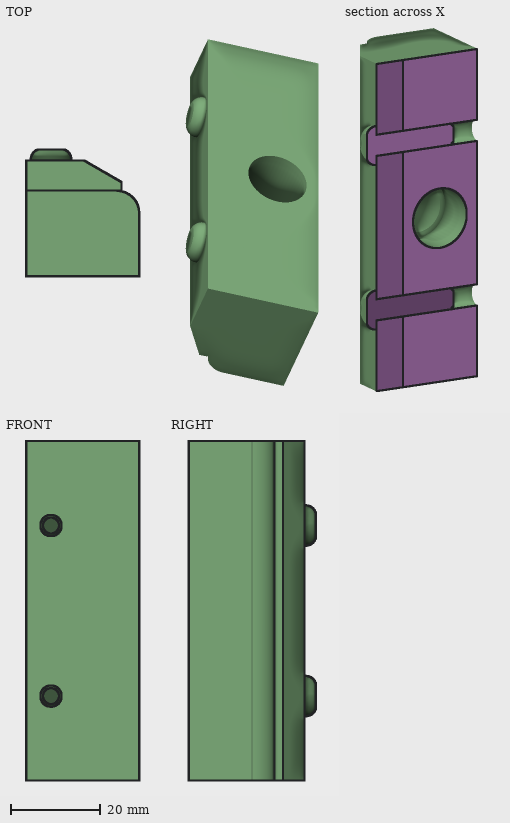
import cadquery as cq
import math

length = 76.2

block_width = 25.4
block_depth = 19.2
block_edge_radius = 5.0

plate_width = 21.4
plate_thickness = 6.8
plate_flat_width = 13.0
plate_bevel_angle = 30.0

head_diameter = 9.15
head_height = 2.5
head_rim_height = 0.2
head_top_diameter = 5.8
head_bulge = 0.45
shank_diameter = 4.8
shank_end_chamfer = 0.6
shank_end_recess = 6.1
screw_x = 5.6
screw_spacing = 38.25

port_diameter = 13.7
port_depth = 15.25
port_tip_diameter = 11.1
port_tip_angle = 118.0

plate_back = block_depth + plate_thickness
bevel_depth = (plate_width - plate_flat_width) * math.tan(math.radians(plate_bevel_angle))
screw_heights = [-screw_spacing / 2, screw_spacing / 2]


def along_y(x, y, z):
    """Workplane at (x, y, z) whose normal is +Y and whose local X is +X."""
    return cq.Workplane(cq.Plane(origin=(x, y, z), xDir=(1, 0, 0), normal=(0, 1, 0)))


def cut_screw_holes(body):
    """Cut through the body in Y at each screw position."""
    for z in screw_heights:
        hole = along_y(screw_x, 0, z).circle(shank_diameter / 2).extrude(plate_back)
        body = body.cut(hole)
    return body


def make_port():
    """Blind side hole running in +X with a smaller conical tip."""
    radius = port_diameter / 2
    tip_radius = port_tip_diameter / 2
    tip_length = tip_radius / math.tan(math.radians(port_tip_angle / 2))
    middle_y = block_depth / 2
    return (
        cq.Workplane("XY")
        .moveTo(0, middle_y)
        .lineTo(0, middle_y + radius)
        .lineTo(port_depth, middle_y + radius)
        .lineTo(port_depth, middle_y + tip_radius)
        .lineTo(port_depth + tip_length, middle_y)
        .close()
        .revolve(360, (0, middle_y, 0), (1, middle_y, 0))
    )


def make_block():
    """Long block with one rounded edge, a side port and two screw holes."""
    block = cq.Workplane("XY").box(block_width, block_depth, length, centered=(False, False, True))
    block = block.edges(">X and >Y").fillet(block_edge_radius)
    block = block.cut(make_port())
    return cut_screw_holes(block)


def make_plate():
    """Clamping plate with a bevelled outer corner and two screw holes."""
    plate = (
        cq.Workplane("XY")
        .workplane(offset=-length / 2)
        .moveTo(0, block_depth)
        .lineTo(plate_width, block_depth)
        .lineTo(plate_width, plate_back - bevel_depth)
        .lineTo(plate_flat_width, plate_back)
        .lineTo(0, plate_back)
        .close()
        .extrude(length)
    )
    return cut_screw_holes(plate)


def make_screw(z):
    """Button-head screw along Y; its chamfered end stops inside the block."""
    shank_radius = shank_diameter / 2
    head_radius = head_diameter / 2
    top_radius = head_top_diameter / 2
    rim_y = plate_back + head_rim_height
    top_y = plate_back + head_height
    chord_x = head_radius - top_radius
    chord_y = top_y - rim_y
    chord = math.hypot(chord_x, chord_y)
    dome_middle = (
        (head_radius + top_radius) / 2 + head_bulge * chord_y / chord,
        (rim_y + top_y) / 2 + head_bulge * chord_x / chord,
    )
    return (
        cq.Workplane("XY")
        .moveTo(0, shank_end_recess)
        .lineTo(shank_radius - shank_end_chamfer, shank_end_recess)
        .lineTo(shank_radius, shank_end_recess + shank_end_chamfer)
        .lineTo(shank_radius, plate_back)
        .lineTo(head_radius, plate_back)
        .lineTo(head_radius, rim_y)
        .threePointArc(dome_middle, (top_radius, top_y))
        .lineTo(0, top_y)
        .close()
        .revolve(360, (0, 0, 0), (0, 1, 0))
        .translate((screw_x, 0, z))
    )


block = make_block()
plate = make_plate()
screws = [make_screw(z) for z in screw_heights]

result = cq.Compound.makeCompound([block.val(), plate.val(), *[screw.val() for screw in screws]])